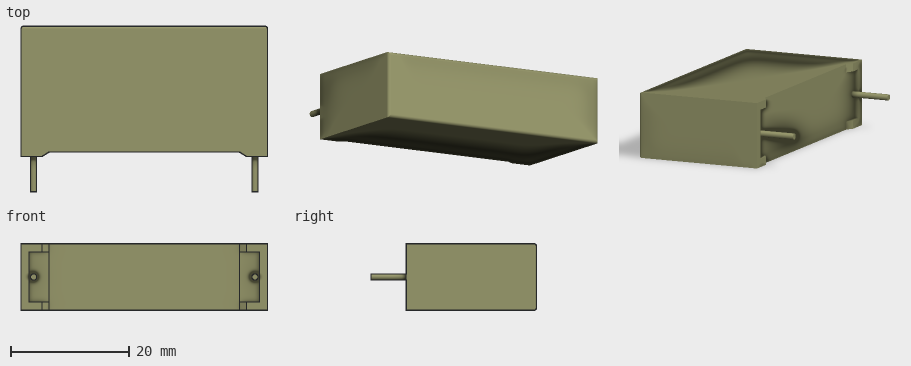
import cadquery as cq


case_length = 41.8
case_depth = 22.1
case_height = 11.3
back_edge_radius = 0.5

foot_height = 0.75
foot_width = 3.6
shoulder_width = 1.2

wall = 1.4

lead_pitch = 37.5
lead_diameter = 1.05
lead_length = 6.0

half_length = case_length / 2
foot_inner_x = half_length - foot_width
center_face_half = foot_inner_x - shoulder_width
cavity_length = case_length - 2 * wall
cavity_height = case_height - 2 * wall
cavity_back_y = case_depth - wall
bridge_back_y = foot_height + wall


def centered_block(length, height, y_front, y_back):
    """Block centred on X and Z, spanning y_front to y_back."""
    block = cq.Workplane("XY").box(length, y_back - y_front, height)
    return block.translate((0, (y_front + y_back) / 2, 0))


def make_resin():
    """Resin filling the cavity, flush with the central face and passing behind the bridge wall."""
    fill = centered_block(cavity_length, cavity_height, foot_height, cavity_back_y)
    bridge = centered_block(2 * center_face_half, cavity_height, foot_height, bridge_back_y)
    return fill.cut(bridge)


def make_case(resin):
    """Case with rounded back edges, end feet, a recess in each foot, and a resin-filled cavity."""
    outline = [
        (-half_length, 0),
        (-foot_inner_x, 0),
        (-center_face_half, foot_height),
        (center_face_half, foot_height),
        (foot_inner_x, 0),
        (half_length, 0),
        (half_length, case_depth),
        (-half_length, case_depth),
    ]
    body = cq.Workplane("XY").polyline(outline).close().extrude(case_height / 2, both=True)
    body = body.faces(">Y").edges().fillet(back_edge_radius)
    foot_recesses = centered_block(cavity_length, cavity_height, 0, foot_height)
    return body.cut(foot_recesses).cut(resin)


def make_lead(x):
    """Round lead standing on the resin surface and pointing along -Y."""
    lead = cq.Workplane("XZ").circle(lead_diameter / 2).extrude(lead_length + foot_height)
    return lead.translate((x, foot_height, 0))


resin = make_resin()
case = make_case(resin)
leads = [make_lead(side * lead_pitch / 2) for side in (-1, 1)]

result = cq.Compound.makeCompound([case.val(), resin.val(), *[lead.val() for lead in leads]])